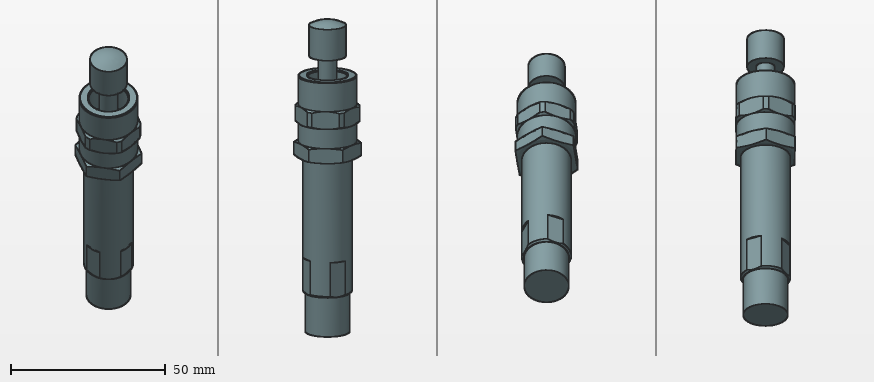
import cadquery as cq
import math

overall_height = 104.2
dome_base = 102.6
cap_bottom = 92.2
collar_top = 85.9
upper_hex_top = 76.1
upper_hex_bottom = 70.1
nut_top = 63.7
nut_bottom = 58.7
flats_top = 25.0
barrel_bottom = 13.1
bore_floor = upper_hex_top

cap_diameter = 12.0
rod_diameter = 6.0

across_flats = 19.0
collar_diameter = across_flats
barrel_diameter = 16.0
barrel_chamfer = 0.6
tail_diameter = 14.5
barrel_flat_spacing = 15.1
bore_diameter = 12.7
collar_chamfer = 0.3
rim_chamfer = 0.4
upper_hex_corner_diameter = 20.9
upper_hex_corner_angle = 30.0
nut_corner_angle = 15.0

across_corners = across_flats / math.cos(math.radians(30))


def cylinder(diameter, bottom, top):
    """Upright cylinder on the common axis."""
    return cq.Workplane("XY").workplane(offset=bottom).circle(diameter / 2).extrude(top - bottom)


def make_plunger():
    """Rod standing on the bore floor, with a domed cap on its upper end."""
    radius = cap_diameter / 2
    dome_height = overall_height - dome_base
    dome_radius = (radius**2 + dome_height**2) / (2 * dome_height)
    half_angle = math.asin(radius / dome_radius) / 2
    dome_middle = (
        dome_radius * math.sin(half_angle),
        overall_height - dome_radius * (1 - math.cos(half_angle)),
    )
    cap = (
        cq.Workplane("XZ")
        .moveTo(0, cap_bottom)
        .lineTo(radius, cap_bottom)
        .lineTo(radius, dome_base)
        .threePointArc(dome_middle, (0, overall_height))
        .close()
        .revolve(360, (0, 0, 0), (0, 1, 0))
    )
    return cap.union(cylinder(rod_diameter, bore_floor, cap_bottom))


def hexagon(bottom, top, corner_diameter, corner_angle):
    """Hexagon with corners along Y, trimmed by a cylinder and a cone at either end."""
    prism = (
        cq.Workplane("XY")
        .workplane(offset=bottom)
        .polygon(6, across_corners)
        .extrude(top - bottom)
        .rotate((0, 0, 0), (0, 0, 1), 30)
    )
    face_radius = across_flats / 2
    corner_radius = corner_diameter / 2
    drop = (corner_radius - face_radius) * math.tan(math.radians(corner_angle))
    envelope = (
        cq.Workplane("XZ")
        .polyline([
            (0, bottom),
            (face_radius, bottom),
            (corner_radius, bottom + drop),
            (corner_radius, top - drop),
            (face_radius, top),
            (0, top),
        ])
        .close()
        .revolve(360, (0, 0, 0), (0, 1, 0))
    )
    return prism.intersect(envelope)


def make_barrel():
    """Long barrel with a chamfered lower end and four wrench flats."""
    barrel = cylinder(barrel_diameter, barrel_bottom, nut_bottom)
    barrel = barrel.faces("<Z").chamfer(barrel_chamfer)
    flats_height = flats_top - barrel_bottom
    flats_section = (
        cq.Workplane("XY")
        .workplane(offset=barrel_bottom)
        .rect(barrel_flat_spacing, barrel_flat_spacing)
        .extrude(flats_height)
    )
    flats_cutter = cylinder(across_corners, barrel_bottom, flats_top).cut(flats_section)
    return barrel.cut(flats_cutter)


def make_housing():
    """Collar, two hexagons, barrel and tail in one piece, with a bore for the plunger."""
    collar = cylinder(collar_diameter, nut_top, collar_top).faces(">Z").chamfer(collar_chamfer)
    upper_hex = hexagon(
        upper_hex_bottom, upper_hex_top, upper_hex_corner_diameter, upper_hex_corner_angle
    )
    nut = hexagon(nut_bottom, nut_top, across_corners, nut_corner_angle)
    tail = cylinder(tail_diameter, 0, barrel_bottom)
    housing = collar.union(upper_hex).union(nut).union(make_barrel()).union(tail)
    housing = housing.cut(cylinder(bore_diameter, bore_floor, collar_top))
    rim_edge = cq.selectors.RadiusNthSelector(0)
    return housing.faces(">Z").edges(rim_edge).chamfer(rim_chamfer)


plunger = make_plunger()
housing = make_housing()

result = cq.Compound.makeCompound([housing.val(), plunger.val()])